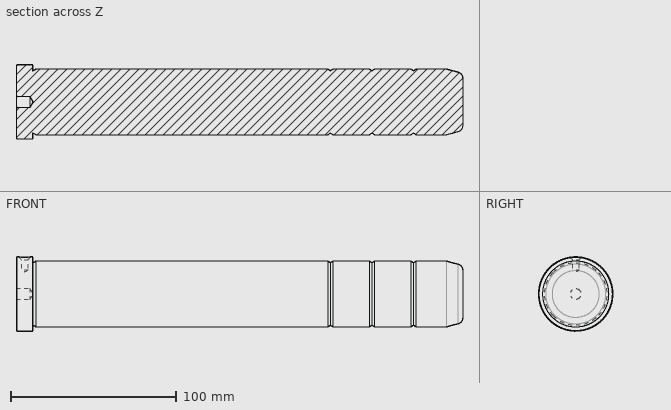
import cadquery as cq
import math

length = 270.0
head_diameter = 45.0
head_radius = head_diameter / 2
head_length = 10.0
head_chamfer = 0.4
shaft_radius = 20.0

relief_width = 2.0
relief_depth = 1.0

lead_length = 10.0
lead_angle = math.radians(15)
tip_round = 4.0

groove_count = 3
first_groove_x = 189.8
groove_pitch = 25.0
groove_width = 3.0
groove_depth = 1.0

drill_tip_angle = math.radians(118)
center_hole_radius = 3.2
center_hole_depth = 8.0
rim_hole_radius = 2.0
rim_hole_mouth_radius = 3.8
rim_hole_depth = 8.0


def make_body():
    """Revolve the head, relief, shaft and lead-in as one profile."""
    relief_radius = shaft_radius - relief_depth
    relief_end = head_length + relief_width
    lead_start = length - lead_length

    round_start = length - tip_round * (1 - math.sin(lead_angle))
    round_start_radius = shaft_radius - (round_start - lead_start) * math.tan(lead_angle)
    round_center_x = length - tip_round
    tip_radius = round_start_radius - tip_round * math.cos(lead_angle)
    mid_angle = (math.pi / 2 - lead_angle) / 2
    round_middle = (
        round_center_x + tip_round * math.cos(mid_angle),
        tip_radius + tip_round * math.sin(mid_angle),
    )

    profile = (
        cq.Workplane("XY")
        .lineTo(0, head_radius - head_chamfer)
        .lineTo(head_chamfer, head_radius)
        .lineTo(head_length - head_chamfer, head_radius)
        .lineTo(head_length, head_radius - head_chamfer)
        .lineTo(head_length, relief_radius)
        .lineTo(relief_end, shaft_radius)
        .lineTo(lead_start, shaft_radius)
        .lineTo(round_start, round_start_radius)
        .threePointArc(round_middle, (length, tip_radius))
        .lineTo(length, 0)
        .close()
    )
    return profile.revolve(360, (0, 0, 0), (1, 0, 0))


def make_groove(center_x):
    """Ring with a V-shaped section that cuts one groove around the shaft."""
    half_width = groove_width / 2
    section = (
        cq.Workplane("XY")
        .moveTo(center_x - half_width, shaft_radius)
        .lineTo(center_x, shaft_radius - groove_depth)
        .lineTo(center_x + half_width, shaft_radius)
        .close()
    )
    return section.revolve(360, (0, 0, 0), (1, 0, 0))


def make_drilled_hole(mouth, direction, radius, depth):
    """Straight hole ending in a conical drill tip."""
    tip_length = radius / math.tan(drill_tip_angle / 2)
    bore = cq.Solid.makeCylinder(radius, depth, mouth, direction)
    tip = cq.Solid.makeCone(radius, 0, tip_length, mouth + direction * depth, direction)
    return bore.fuse(tip)


def make_countersink(mouth, direction, radius, mouth_radius):
    """90 degree cone that opens the mouth of a hole."""
    return cq.Solid.makeCone(mouth_radius, radius, mouth_radius - radius, mouth, direction)


result = make_body()

for index in range(groove_count):
    result = result.cut(make_groove(first_groove_x + index * groove_pitch))

face_center = cq.Vector(0, 0, 0)
inward_x = cq.Vector(1, 0, 0)
result = result.cut(make_drilled_hole(face_center, inward_x, center_hole_radius, center_hole_depth))

rim_top = cq.Vector(head_length / 2, 0, head_radius)
downward = cq.Vector(0, 0, -1)
result = result.cut(make_drilled_hole(rim_top, downward, rim_hole_radius, rim_hole_depth))
result = result.cut(make_countersink(rim_top, downward, rim_hole_radius, rim_hole_mouth_radius))